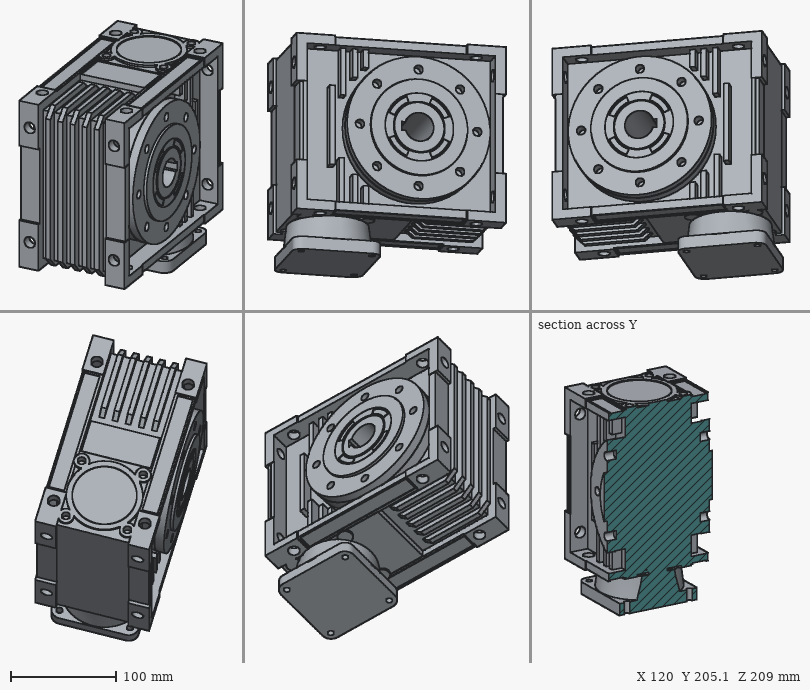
import cadquery as cq
import math


HOUSING_FRONT, HOUSING_BACK = -86.0, 119.1
HOUSING_BOTTOM, HOUSING_TOP = -87.5, 86.0
HOUSING_HALF_WIDTH = 56.2
HOUSING_MID_Z = (HOUSING_BOTTOM + HOUSING_TOP) / 2
FRAME_INNER_X = 35.5

POCKET_FLOOR_X = 36.8
POCKET_FRONT, POCKET_BACK = -75.5, 108.9
POCKET_HALF_HEIGHT = 77.1

SIDE_GAP_HALF_HEIGHT = 39.0
FRONT_GAP_DEPTH = 3.0
BACK_GAP_DEPTH = 6.5
TOP_GAP_DEPTH = 1.5
TOP_GAP_FRONT, TOP_GAP_BACK = -48.0, 81.5
TOP_BAR_SETBACK = 0.8
SIDE_BAR_SETBACK = 0.5

BACK_PANEL_HEIGHT, BACK_PANEL_MARGIN = 3.3, 0.6
BAR_PANEL_DEPTH = 0.8
BAR_PANEL_MARGIN, BAR_PANEL_INNER_MARGIN = 1.9, 3.0

PAD_HOLE_DIAMETER = 11.3
PAD_HOLE_X = 45.0
PAD_HOLE_Z = 59.8
PAD_HOLE_FRONT_Y, PAD_HOLE_BACK_Y = -59.5, 93.5

BODY_FRONT, BODY_BACK = -76.3, 116.2
BODY_HALF_HEIGHT = 77.3
BODY_STEP_HALF_HEIGHT = 84.6
BODY_STEP_FRONT = 0.8
LABEL_WIDTH, LABEL_LENGTH, LABEL_DEPTH = 68.1, 33.6, 1.0

FIN_COUNT = 5
FIN_PITCH = 13.0
FIN_WIDTH = 5.0
FIN_FRONT = -84.6
FIN_HALF_HEIGHT = 83.8
FIN_CHAMFER = 10.7
FIN_RAMP_START, FIN_RAMP_END = -15.7, -8.2

INPUT_Y = 74.8
COVER_RADIUS = 36.4
COVER_RECESS_RADIUS, COVER_RECESS_DEPTH = 30.7, 1.0
EAR_COUNT, EAR_CIRCLE_RADIUS = 4, 42.6
EAR_RADIUS = 7.5
EAR_HOLE_DIAMETER, EAR_HOLE_DEPTH = 7.7, 8.4
EAR_TURN = 1.2

FLANGE_BOTTOM = -123.0
FLANGE_THICKNESS = 12.3
FLANGE_SIDE = 86.0
FLANGE_CORNER_RADIUS = 9.8
FLANGE_HOLE_OFFSET, FLANGE_HOLE_DIAMETER = 34.7, 5.9
NECK_TOP_RADIUS, NECK_BOTTOM_RADIUS = 39.3, 42.2

DISC_RADIUS, DISC_FACE_X, DISC_BACK_X = 70.0, 57.0, 47.9
DISC_BASE_RADIUS = 69.5
HUB_RADIUS, HUB_FACE_X = 47.2, 60.0
SEAL_RADIUS, SEAL_DEPTH = 33.5, 0.2
SHAFT_RADIUS, SHAFT_GAP, SHAFT_GAP_DEPTH = 24.5, 0.6, 1.0
SEAL_SLOT_INNER, SEAL_SLOT_OUTER = 26.1, 31.8
SEAL_SLOT_COUNT, SEAL_SLOT_ANGLE, SEAL_SLOT_DEPTH = 4, 44.0, 0.6
DISC_BOLT_COUNT, DISC_BOLT_CIRCLE = 8, 57.5
DISC_BOLT_DIAMETER, DISC_BOLT_DEPTH = 8.4, 10.5
BORE_DIAMETER = 28.0
KEY_WIDTH, KEY_TIP_Y = 8.4, 17.1

RIB_WIDTH, RIB_HEIGHT = 5.0, 10.5
POCKET_TOP = HOUSING_MID_Z + POCKET_HALF_HEIGHT
POCKET_BOTTOM = HOUSING_MID_Z - POCKET_HALF_HEIGHT
RIBS = [
    (82.0, -SIDE_GAP_HALF_HEIGHT, SIDE_GAP_HALF_HEIGHT),
    (71.3, 30.0, POCKET_TOP),
    (59.8, 48.3, POCKET_TOP),
    (49.1, 58.7, POCKET_TOP),
    (72.7, POCKET_BOTTOM, -32.0),
    (59.8, POCKET_BOTTOM, -47.5),
    (49.1, POCKET_BOTTOM, -58.0),
]


def block(x0, x1, y0, y1, z0, z1):
    """Box given by its limits along each axis."""
    return cq.Workplane("XY").box(x1 - x0, y1 - y0, z1 - z0, centered=False).translate((x0, y0, z0))


def rod_x(radius, x0, x1):
    """Cylinder on the output axis between two X positions."""
    return cq.Workplane("YZ").workplane(offset=x0).circle(radius).extrude(x1 - x0)


def both_sides(shape):
    """Shape joined with its mirror image across the middle plane X = 0."""
    return shape.union(shape.mirror("YZ"))


def both_ends(shape):
    """Shape joined with its mirror image across the housing's mid height."""
    return shape.union(shape.mirror("XY", (0, 0, HOUSING_MID_Z)))


def side_frame():
    """Frame on the +X side: corner pads, set-back bars, bar panels and a deep pocket."""
    gap = SIDE_GAP_HALF_HEIGHT
    inner, outer = FRAME_INNER_X, HOUSING_HALF_WIDTH
    frame = block(inner, outer, HOUSING_FRONT, HOUSING_BACK, HOUSING_BOTTOM, HOUSING_TOP)
    frame = frame.cut(block(inner, outer, HOUSING_FRONT, HOUSING_FRONT + FRONT_GAP_DEPTH, -gap, gap))
    frame = frame.cut(block(inner, outer, HOUSING_BACK - BACK_GAP_DEPTH, HOUSING_BACK, -gap, gap))
    side_face = outer - SIDE_BAR_SETBACK
    frame = frame.cut(block(side_face, outer, HOUSING_FRONT, HOUSING_BACK, -gap, gap))
    back_panel_top = gap - BACK_PANEL_MARGIN
    back_bar = HOUSING_BACK - BACK_GAP_DEPTH
    frame = frame.union(block(
        inner, side_face - BACK_PANEL_MARGIN, back_bar, back_bar + BACK_PANEL_HEIGHT,
        -back_panel_top, back_panel_top,
    ))

    bar_face = outer - TOP_BAR_SETBACK
    setback = (
        cq.Workplane("XY", origin=(0, 0, HOUSING_BOTTOM))
        .moveTo(outer, TOP_GAP_FRONT)
        .lineTo(bar_face, TOP_GAP_FRONT + TOP_BAR_SETBACK)
        .lineTo(bar_face, TOP_GAP_BACK - TOP_BAR_SETBACK)
        .lineTo(outer, TOP_GAP_BACK)
        .close()
        .extrude(HOUSING_TOP - HOUSING_BOTTOM)
    )
    frame = frame.cut(setback)
    bar_top = HOUSING_TOP - TOP_GAP_DEPTH
    margin = BAR_PANEL_MARGIN
    top_gap = block(inner, outer, TOP_GAP_FRONT, TOP_GAP_BACK, bar_top, HOUSING_TOP)
    panel = block(
        inner + BAR_PANEL_INNER_MARGIN, bar_face - margin,
        TOP_GAP_FRONT + margin, TOP_GAP_BACK - margin,
        bar_top - BAR_PANEL_DEPTH, bar_top,
    )
    frame = frame.cut(both_ends(top_gap.union(panel)))

    pocket = block(POCKET_FLOOR_X, outer, POCKET_FRONT, POCKET_BACK, POCKET_BOTTOM, POCKET_TOP)
    return frame.cut(pocket)


def pocket_ribs():
    """Upright ribs on the pocket floor of the +X side."""
    ribs = cq.Workplane("XY")
    half = RIB_WIDTH / 2
    for rib_y, rib_bottom, rib_top in RIBS:
        rib = block(
            POCKET_FLOOR_X, POCKET_FLOOR_X + RIB_HEIGHT,
            rib_y - half, rib_y + half, rib_bottom, rib_top,
        )
        ribs = ribs.add(rib)
    return ribs.combine()


def pad_holes():
    """Holes through the frame walls, kept on the +X side."""
    length_y = HOUSING_BACK - HOUSING_FRONT
    length_z = HOUSING_TOP - HOUSING_BOTTOM
    along_y = (
        cq.Workplane("XZ", origin=(0, HOUSING_BACK, 0))
        .pushPoints([(PAD_HOLE_X, PAD_HOLE_Z), (PAD_HOLE_X, -PAD_HOLE_Z)])
        .circle(PAD_HOLE_DIAMETER / 2)
        .extrude(length_y)
    )
    along_z = (
        cq.Workplane("XY", origin=(0, 0, HOUSING_BOTTOM))
        .pushPoints([(PAD_HOLE_X, PAD_HOLE_FRONT_Y), (PAD_HOLE_X, PAD_HOLE_BACK_Y)])
        .circle(PAD_HOLE_DIAMETER / 2)
        .extrude(length_z)
    )
    return along_y.union(along_z)


def middle_body():
    """Body between the frames, taller around the input shaft, with a label recess on top."""
    half = FRAME_INNER_X
    mid = HOUSING_MID_Z
    body = block(
        -half, half, BODY_FRONT, BODY_BACK,
        mid - BODY_HALF_HEIGHT, mid + BODY_HALF_HEIGHT,
    )
    step_top = mid + BODY_STEP_HALF_HEIGHT
    body = body.union(block(
        -half, half, BODY_STEP_FRONT, BODY_BACK,
        mid - BODY_STEP_HALF_HEIGHT, step_top,
    ))
    label = block(
        -LABEL_WIDTH / 2, LABEL_WIDTH / 2,
        BODY_STEP_FRONT, BODY_STEP_FRONT + LABEL_LENGTH,
        step_top - LABEL_DEPTH, step_top,
    )
    return body.cut(label)


def fins():
    """Ribs wrapping over the top, front and bottom of the middle body."""
    upper = [
        (FIN_RAMP_END, BODY_HALF_HEIGHT),
        (FIN_RAMP_START, FIN_HALF_HEIGHT),
        (FIN_FRONT + FIN_CHAMFER, FIN_HALF_HEIGHT),
        (FIN_FRONT, FIN_HALF_HEIGHT - FIN_CHAMFER),
    ]
    lower = [(y, -height) for y, height in reversed(upper)]
    fin = (
        cq.Workplane("YZ", origin=(0, 0, HOUSING_MID_Z))
        .polyline(upper + lower)
        .close()
        .extrude(FIN_WIDTH / 2, both=True)
    )
    row = cq.Workplane("XY")
    for index in range(FIN_COUNT):
        row = row.add(fin.translate(((index - (FIN_COUNT - 1) / 2) * FIN_PITCH, 0, 0)))
    return row.combine()


def cover():
    """Round cover with corner ears, seated on top of the middle body."""
    base = HOUSING_MID_Z + BODY_STEP_HALF_HEIGHT
    height = HOUSING_TOP - base
    plane = cq.Workplane("XY", origin=(0, INPUT_Y, base))
    disc = plane.circle(COVER_RADIUS).extrude(height)
    diagonal = EAR_CIRCLE_RADIUS / math.sqrt(2)
    ear_center = (diagonal, diagonal)
    ear = plane.center(*ear_center).circle(EAR_RADIUS).extrude(height)
    web = plane.center(*ear_center).rect(-EAR_RADIUS, -EAR_RADIUS, centered=False).extrude(height)
    ear = ear.union(web)
    axis_start, axis_end = (0, INPUT_Y, 0), (0, INPUT_Y, 1)
    for index in range(EAR_COUNT):
        disc = disc.union(ear.rotate(axis_start, axis_end, EAR_TURN + index * 360 / EAR_COUNT))
    return disc


def cover_cuts():
    """Shallow face recess and ear holes of the top cover."""
    plane = cq.Workplane("XY", origin=(0, INPUT_Y, HOUSING_TOP))
    recess = plane.circle(COVER_RECESS_RADIUS).extrude(-COVER_RECESS_DEPTH)
    holes = (
        plane.polarArray(EAR_CIRCLE_RADIUS, 45 + EAR_TURN, 360, EAR_COUNT)
        .circle(EAR_HOLE_DIAMETER / 2)
        .extrude(-EAR_HOLE_DEPTH)
    )
    return recess.union(holes)


def input_flange():
    """Square motor flange and the tapered neck that joins it to the housing."""
    flange_top = FLANGE_BOTTOM + FLANGE_THICKNESS
    offset = 2 * FLANGE_HOLE_OFFSET
    flange = (
        cq.Workplane("XY", origin=(0, INPUT_Y, FLANGE_BOTTOM))
        .rect(FLANGE_SIDE, FLANGE_SIDE)
        .extrude(FLANGE_THICKNESS)
        .edges("|Z")
        .fillet(FLANGE_CORNER_RADIUS)
        .faces(">Z")
        .workplane(origin=(0, INPUT_Y, flange_top))
        .rect(offset, offset, forConstruction=True)
        .vertices()
        .hole(FLANGE_HOLE_DIAMETER)
    )
    neck = (
        cq.Workplane("XY", origin=(0, INPUT_Y, flange_top))
        .circle(NECK_BOTTOM_RADIUS)
        .workplane(offset=HOUSING_BOTTOM - flange_top)
        .circle(NECK_TOP_RADIUS)
        .loft()
    )
    return flange.union(neck)


def output_disc():
    """Stepped round output face on the +X side."""
    disc = rod_x(DISC_BASE_RADIUS, FRAME_INNER_X, DISC_BACK_X)
    disc = disc.union(rod_x(DISC_RADIUS, DISC_BACK_X, DISC_FACE_X))
    return disc.union(rod_x(HUB_RADIUS, DISC_FACE_X, HUB_FACE_X))


def seal_slot():
    """One arc-shaped recess of the shaft seal, centred on the +Y axis."""
    half_angle = math.radians(SEAL_SLOT_ANGLE / 2)

    def at(radius, angle):
        return (radius * math.cos(angle), radius * math.sin(angle))

    return (
        cq.Workplane("YZ", origin=(HUB_FACE_X, 0, 0))
        .moveTo(*at(SEAL_SLOT_INNER, -half_angle))
        .lineTo(*at(SEAL_SLOT_OUTER, -half_angle))
        .threePointArc(at(SEAL_SLOT_OUTER, 0), at(SEAL_SLOT_OUTER, half_angle))
        .lineTo(*at(SEAL_SLOT_INNER, half_angle))
        .threePointArc(at(SEAL_SLOT_INNER, 0), at(SEAL_SLOT_INNER, -half_angle))
        .close()
        .extrude(-SEAL_DEPTH - SEAL_SLOT_DEPTH)
    )


def output_cuts():
    """Seal recesses, shaft gap and bolt holes of the +X output face."""
    face = cq.Workplane("YZ", origin=(HUB_FACE_X, 0, 0))
    cuts = face.circle(SEAL_RADIUS).circle(SHAFT_RADIUS).extrude(-SEAL_DEPTH)
    gap = face.circle(SHAFT_RADIUS + SHAFT_GAP).circle(SHAFT_RADIUS).extrude(-SHAFT_GAP_DEPTH)
    cuts = cuts.union(gap)
    for index in range(SEAL_SLOT_COUNT):
        angle = 45 + index * 360 / SEAL_SLOT_COUNT
        cuts = cuts.union(seal_slot().rotate((0, 0, 0), (1, 0, 0), angle))
    bolts = (
        cq.Workplane("YZ", origin=(DISC_FACE_X, 0, 0))
        .polarArray(DISC_BOLT_CIRCLE, 0, 360, DISC_BOLT_COUNT)
        .circle(DISC_BOLT_DIAMETER / 2)
        .extrude(-DISC_BOLT_DEPTH)
    )
    return cuts.union(bolts)


def output_bore():
    """Through bore with its keyway toward +Y."""
    half_key = KEY_WIDTH / 2
    bore = rod_x(BORE_DIAMETER / 2, -HUB_FACE_X, HUB_FACE_X)
    keyway = block(-HUB_FACE_X, HUB_FACE_X, 0, KEY_TIP_Y, -half_key, half_key)
    return bore.union(keyway)


result = middle_body().union(both_sides(side_frame())).cut(both_sides(pad_holes()))
result = result.union(fins()).union(both_sides(pocket_ribs()))
result = result.union(both_ends(cover())).cut(cover_cuts())
result = result.union(input_flange())
result = result.union(both_sides(output_disc())).cut(both_sides(output_cuts()))
result = result.cut(output_bore())